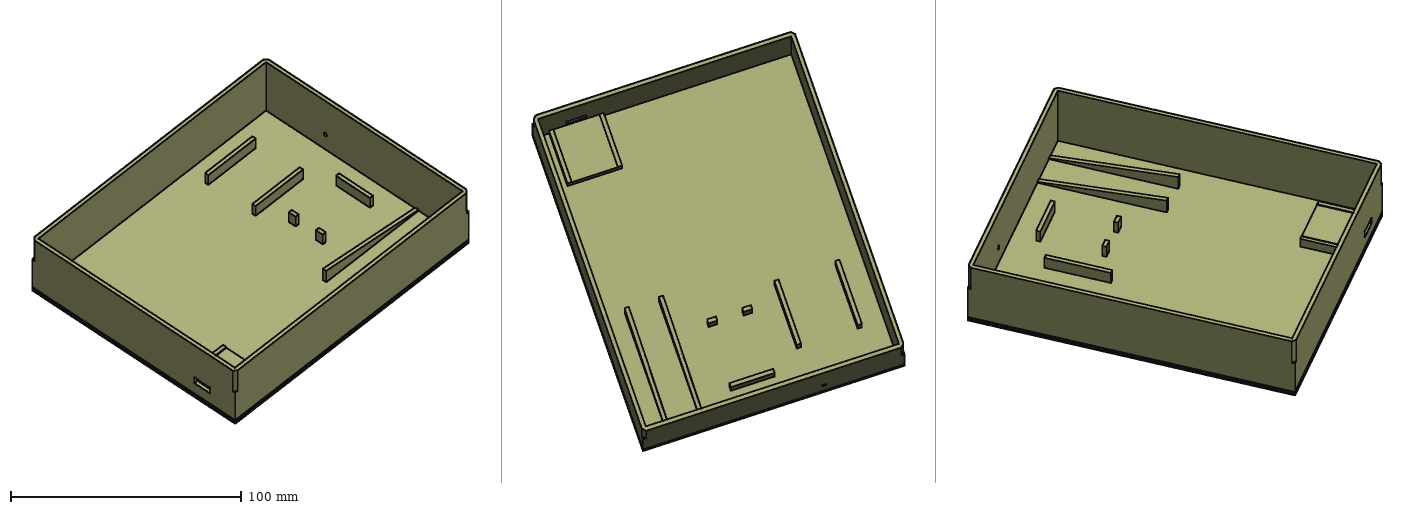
import cadquery as cq

LENGTH_X = 120.0
LENGTH_Y = 150.0
HEIGHT = 32.0
WALL = 2.0
FLOOR = 2.0
CORNER_CHAMFER = 1.5
CHAMFER_HEIGHT = 12.8

GROOVE_BOTTOM = 0.8
GROOVE_TOP = 2.0
GROOVE_DEPTH = 0.2

SLOT_WIDTH = 9.2
SLOT_HEIGHT = 3.5
SLOT_BOTTOM = 8.5
HOLE_DIAMETER = 2.0
HOLE_X = -23.1
HOLE_Z = 11.1

RIB_THICKNESS = 2.0
RIB_HEIGHT = 6.0

SIDE_RIB_LENGTH = 30.5
SIDE_RIB_CENTERS_X = (-46.8, -18.9)
SIDE_RIB_CENTER_Y = 38.0

CROSS_RIB_LENGTH = 20.1
CROSS_RIB_CENTER_X = 5.2
CROSS_RIB_CENTER_Y = 61.0
POST_WIDTH = 4.0
POST_CENTER_Y = 30.8

RAMP_LENGTH = 59.2
RAMP_LOW_HEIGHT = 0.6
RAMP_HIGH_HEIGHT = 7.0
RAMP_CENTERS_X = (31.0, 46.8)

BRACKET_CENTER_X = 40.5
BRACKET_WIDTH = 25.0
BRACKET_LENGTH = 25.0
BRACKET_HEIGHT = 4.6
BRACKET_BASE = 4.2

INNER_X = LENGTH_X - 2 * WALL
INNER_Y = LENGTH_Y - 2 * WALL
INNER_BACK = INNER_Y / 2
INNER_FRONT = -INNER_Y / 2


def box_on(z, size_x, size_y, size_z, center_x=0.0, center_y=0.0):
    """Box standing on height z, centred on a point in X and Y."""
    return (
        cq.Workplane("XY")
        .box(size_x, size_y, size_z, centered=(True, True, False))
        .translate((center_x, center_y, z))
    )


def foot_groove():
    """Ring that cuts the shallow groove around the foot."""
    height = GROOVE_TOP - GROOVE_BOTTOM
    outer = box_on(GROOVE_BOTTOM, LENGTH_X, LENGTH_Y, height)
    core = box_on(GROOVE_BOTTOM, LENGTH_X - 2 * GROOVE_DEPTH, LENGTH_Y - 2 * GROOVE_DEPTH, height)
    return outer.cut(core)


def make_housing():
    """Open tray whose upper corners are bevelled."""
    chamfer_start = HEIGHT - CHAMFER_HEIGHT
    lower = box_on(0, LENGTH_X, LENGTH_Y, chamfer_start)
    upper = box_on(chamfer_start, LENGTH_X, LENGTH_Y, CHAMFER_HEIGHT)
    upper = upper.edges("|Z").chamfer(CORNER_CHAMFER)
    cavity = box_on(FLOOR, INNER_X, INNER_Y, HEIGHT - FLOOR)
    front_center_y = INNER_FRONT - WALL / 2
    slot = box_on(SLOT_BOTTOM, SLOT_WIDTH, WALL, SLOT_HEIGHT, BRACKET_CENTER_X, front_center_y)
    hole = (
        cq.Workplane("XZ", origin=(HOLE_X, LENGTH_Y / 2, HOLE_Z))
        .circle(HOLE_DIAMETER / 2)
        .extrude(WALL)
    )
    return lower.union(upper).cut(cavity).cut(slot).cut(hole).cut(foot_groove())


def make_side_rib(center_x):
    return box_on(FLOOR, RIB_THICKNESS, SIDE_RIB_LENGTH, RIB_HEIGHT, center_x, SIDE_RIB_CENTER_Y)


def make_cross_rib():
    return box_on(
        FLOOR, CROSS_RIB_LENGTH, RIB_THICKNESS, RIB_HEIGHT, CROSS_RIB_CENTER_X, CROSS_RIB_CENTER_Y
    )


def make_post(side):
    """Post facing one end of the cross rib; side is -1 or 1."""
    center_x = CROSS_RIB_CENTER_X + side * (CROSS_RIB_LENGTH - POST_WIDTH) / 2
    return box_on(FLOOR, POST_WIDTH, RIB_THICKNESS, RIB_HEIGHT, center_x, POST_CENTER_Y)


def make_ramp(center_x):
    """Tapered rib, low at the back wall and high at its free end."""
    free_end = INNER_BACK - RAMP_LENGTH
    return (
        cq.Workplane("YZ", origin=(center_x - RIB_THICKNESS / 2, 0, FLOOR))
        .moveTo(INNER_BACK, 0)
        .lineTo(INNER_BACK, RAMP_LOW_HEIGHT)
        .lineTo(free_end, RAMP_HIGH_HEIGHT)
        .lineTo(free_end, 0)
        .close()
        .extrude(RIB_THICKNESS)
    )


def make_bracket():
    """Upward-facing channel standing against the front wall."""
    center_y = INNER_FRONT + BRACKET_LENGTH / 2
    block = box_on(FLOOR, BRACKET_WIDTH, BRACKET_LENGTH, BRACKET_HEIGHT, BRACKET_CENTER_X, center_y)
    channel = box_on(
        FLOOR + BRACKET_BASE,
        BRACKET_WIDTH - 2 * RIB_THICKNESS,
        BRACKET_LENGTH,
        BRACKET_HEIGHT - BRACKET_BASE,
        BRACKET_CENTER_X,
        center_y,
    )
    return block.cut(channel)


housing = make_housing()
side_ribs = [make_side_rib(center_x) for center_x in SIDE_RIB_CENTERS_X]
cross_rib = make_cross_rib()
posts = [make_post(side) for side in (-1, 1)]
ramps = [make_ramp(center_x) for center_x in RAMP_CENTERS_X]
bracket = make_bracket()

bodies = [housing, cross_rib, bracket, *side_ribs, *posts, *ramps]
result = cq.Compound.makeCompound([body.val() for body in bodies])